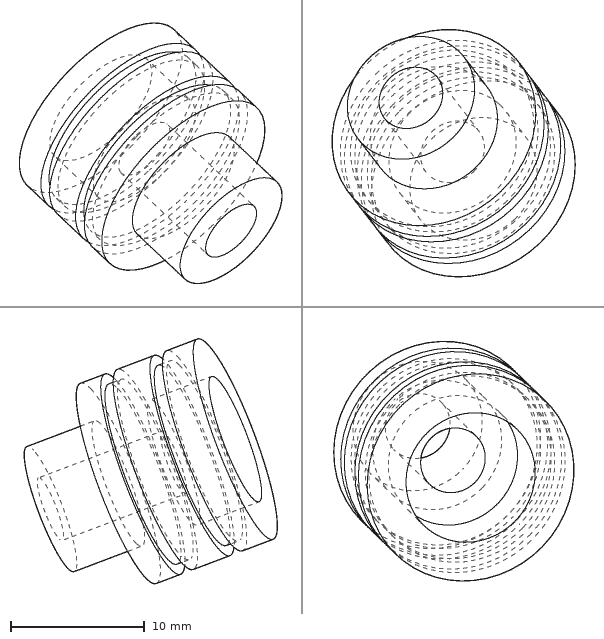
import cadquery as cq

total_length = 15.0
body_length = 9.5
groove_width = 1.0
groove_starts = (2.5, 6.5)
counterbore_depth = 5.0

body_diameter = 16.0
groove_diameter = 14.4
spigot_diameter = 10.0
counterbore_diameter = spigot_diameter
through_diameter = spigot_diameter / 2


def cylinder(diameter, start, length):
    """Solid cylinder on the X axis, running in +X from the given start."""
    return cq.Workplane("YZ", origin=(start, 0, 0)).circle(diameter / 2).extrude(length)


def groove(start):
    """Ring to be cut from the outside of the body."""
    core = cylinder(groove_diameter, start, groove_width)
    return cylinder(body_diameter, start, groove_width).cut(core)


result = cylinder(body_diameter, 0, body_length)
result = result.union(cylinder(spigot_diameter, body_length, total_length - body_length))

for groove_start in groove_starts:
    result = result.cut(groove(groove_start))

result = result.cut(cylinder(counterbore_diameter, 0, counterbore_depth))
result = result.cut(cylinder(through_diameter, 0, total_length))